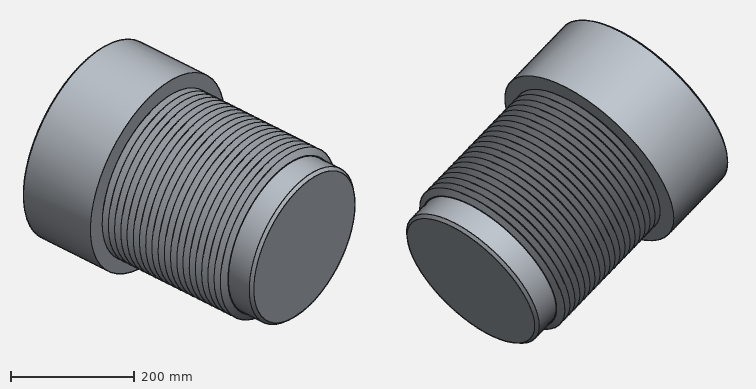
import cadquery as cq

total_length = 440.3
head_length = 139.5
ridges_start = 138.0
ridges_end = 392.3

head_radius = 178.0
crest_radius = 152.8
root_radius = 141.0
pilot_radius = 139.5

head_chamfer = 2.5
pilot_chamfer = 5.5

ridge_count = 20
ridge_pitch = (ridges_end - ridges_start) / ridge_count


def make_head():
    """Wide round head, chamfered around its outer face."""
    head = cq.Workplane("YZ").circle(head_radius).extrude(head_length)
    return head.faces("<X").chamfer(head_chamfer)


def make_core():
    """Cylinder through the whole part; its chamfered far end is the plain pilot."""
    core = cq.Workplane("YZ").circle(pilot_radius).extrude(total_length)
    return core.faces(">X").chamfer(pilot_chamfer)


def make_ridges():
    """Ring ridges, revolved around the X axis from one zigzag outline."""
    outline = [(ridges_start, 0), (ridges_start, root_radius)]
    for index in range(ridge_count):
        valley = ridges_start + index * ridge_pitch
        outline.append((valley + ridge_pitch / 2, crest_radius))
        outline.append((valley + ridge_pitch, root_radius))
    outline.append((ridges_end, 0))
    return cq.Workplane("XZ").polyline(outline).close().revolve(360, (0, 0, 0), (1, 0, 0))


result = make_head().union(make_core()).union(make_ridges())